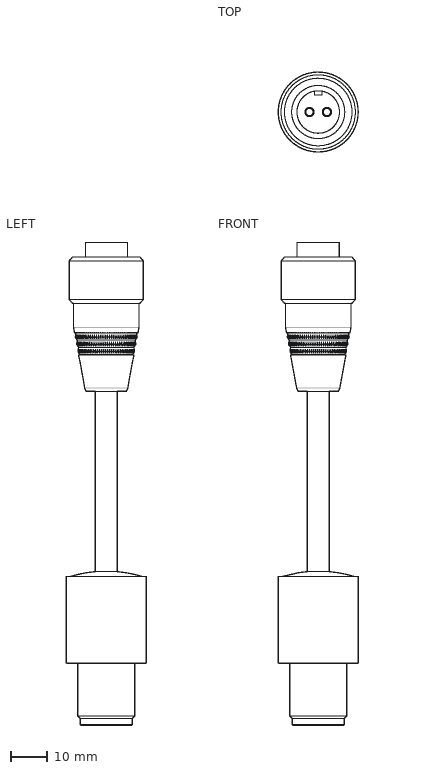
import cadquery as cq
import math


total_height = 133.2

plug_radius = 11.0
plug_bottom_z = 17.0
plug_top_z = 41.1
dome_radius = 9.9
dome_height = 1.5
shell_radius = 15.8 / 2
shell_bottom_z = 2.7
nose_radius = 7.2
rim_chamfer = 0.3

cable_radius = 3.0
cable_socket_depth = 5.3

boot_bottom_z = 92.2
boot_top_z = 116.4
boot_radius = 9.0
boot_taper_bottom_z = 93.1
boot_taper_top_z = 109.7
boot_neck_radius = 6.0
boot_end_radius = 5.6
core_radius = 7.3
shoulder_z = 122.5
insert_radius = 11.7 / 2

band_bottom_z = 102.1
band_top_z = 108.3
ring_pitch = 2.0
ring_count = 4
ring_depth = 0.4
ring_upper_flank = 0.8
flute_count = 88
flute_width = 0.24
flute_depth = 0.2

key_width = 2.0
key_floor_y = 4.7
contact_offset = 2.4
contact_hole_radius = 2.5 / 2
contact_hole_depth = 1.3
contact_cone_radius = 2.0 / 2
contact_cone_depth = 1.0

nut_radius = 10.3
nut_top_z = 129.2
nut_chamfer_width = 0.9
nut_chamfer_height = 1.0

shell_chamfer = shell_radius - nose_radius
boot_slope = (boot_radius - boot_neck_radius) / (boot_taper_top_z - boot_taper_bottom_z)
ring_lower_flank = ring_pitch - ring_upper_flank
o_ring_radius = (core_radius - insert_radius) / 2


def revolve_profile(profile):
    """Turn a closed (radius, z) profile once around the Z axis."""
    return profile.close().revolve(360, (0, 0, 0), (0, 1, 0))


def boot_surface_radius(z):
    """Radius of the tapered boot at height z."""
    return boot_neck_radius + boot_slope * (z - boot_taper_bottom_z)


def cable_cylinder():
    """The cable, which also shapes its sockets in the plug and the boot."""
    bottom_z = plug_top_z - cable_socket_depth
    top_z = boot_bottom_z + cable_socket_depth
    return cq.Workplane("XY").workplane(offset=bottom_z).circle(cable_radius).extrude(top_z - bottom_z)


def make_plug():
    dome_middle = dome_radius / 2
    dome_middle_rise = dome_height * (1 - (dome_middle / dome_radius) ** 2)
    profile = (
        cq.Workplane("XZ")
        .moveTo(0, 0)
        .lineTo(nose_radius - rim_chamfer, 0)
        .lineTo(nose_radius, rim_chamfer)
        .lineTo(nose_radius, shell_bottom_z - shell_chamfer)
        .lineTo(shell_radius, shell_bottom_z)
        .lineTo(shell_radius, plug_bottom_z)
        .lineTo(plug_radius - rim_chamfer, plug_bottom_z)
        .lineTo(plug_radius, plug_bottom_z + rim_chamfer)
        .lineTo(plug_radius, plug_top_z)
        .lineTo(dome_radius, plug_top_z)
        .threePointArc((dome_middle, plug_top_z + dome_middle_rise), (0, plug_top_z + dome_height))
    )
    return revolve_profile(profile).cut(cable_cylinder())


def ring_groove(valley_z):
    """V-shaped ring groove, kept inside the knurled band."""
    upper_z = min(valley_z + ring_upper_flank, band_top_z)
    lower_z = max(valley_z - ring_lower_flank, band_bottom_z)
    profile = (
        cq.Workplane("XZ")
        .moveTo(boot_surface_radius(valley_z) - ring_depth, valley_z)
        .lineTo(boot_surface_radius(lower_z), lower_z)
        .lineTo(boot_radius, lower_z)
        .lineTo(boot_radius, upper_z)
        .lineTo(boot_surface_radius(upper_z), upper_z)
    )
    return revolve_profile(profile)


def flute():
    """V-shaped groove that follows the slant of the boot through the knurled band."""
    start = (boot_surface_radius(band_bottom_z), 0, band_bottom_z)
    slant_plane = cq.Plane(origin=start, xDir=(0, 1, 0), normal=(boot_slope, 0, 1))
    cutter_half_width = flute_width
    slant_length = (band_top_z - band_bottom_z) * math.hypot(1, boot_slope)
    return (
        cq.Workplane(slant_plane)
        .polyline([(-cutter_half_width, -flute_depth), (cutter_half_width, -flute_depth), (0, flute_depth)])
        .close()
        .extrude(slant_length)
    )


def knurl_boot(body):
    for i in range(ring_count):
        body = body.cut(ring_groove(band_top_z - i * ring_pitch))
    flute_pitch = 360 / flute_count
    flutes = []
    for i in range(flute_count):
        turned = flute().rotate((0, 0, 0), (0, 0, 1), (i + 0.5) * flute_pitch)
        flutes.append(turned.val())
    return body.cut(cq.Compound.makeCompound(flutes))


def keyway():
    length = total_height - shoulder_z
    depth = insert_radius - key_floor_y
    return cq.Workplane("XY").box(key_width, depth, length, centered=(True, False, False)).translate(
        (0, key_floor_y, shoulder_z)
    )


def contact_hole(x):
    """Pin socket at x: a round hole with a narrower conical bottom."""
    step_z = total_height - contact_hole_depth
    profile = (
        cq.Workplane("XZ")
        .moveTo(0, step_z - contact_cone_depth)
        .lineTo(contact_cone_radius, step_z)
        .lineTo(contact_hole_radius, step_z)
        .lineTo(contact_hole_radius, total_height)
        .lineTo(0, total_height)
    )
    return revolve_profile(profile).translate((x, 0, 0))


def make_connector():
    profile = (
        cq.Workplane("XZ")
        .moveTo(0, boot_bottom_z)
        .lineTo(boot_end_radius, boot_bottom_z)
        .lineTo(boot_neck_radius, boot_taper_bottom_z)
        .lineTo(boot_radius, boot_taper_top_z)
        .lineTo(boot_radius, boot_top_z)
        .lineTo(core_radius, boot_top_z)
        .lineTo(core_radius, shoulder_z)
        .lineTo(insert_radius, shoulder_z)
        .lineTo(insert_radius, total_height)
        .lineTo(0, total_height)
    )
    body = knurl_boot(revolve_profile(profile))
    body = body.cut(cable_cylinder()).cut(keyway())
    for x in (-contact_offset, contact_offset):
        body = body.cut(contact_hole(x))
    return body


def make_nut():
    face_radius = nut_radius - nut_chamfer_width
    profile = (
        cq.Workplane("XZ")
        .moveTo(core_radius, boot_top_z)
        .lineTo(face_radius, boot_top_z)
        .lineTo(nut_radius, boot_top_z + nut_chamfer_height)
        .lineTo(nut_radius, nut_top_z - nut_chamfer_height)
        .lineTo(face_radius, nut_top_z)
        .lineTo(core_radius, nut_top_z)
    )
    return revolve_profile(profile)


def make_o_ring():
    centre_radius = insert_radius + o_ring_radius
    section = cq.Workplane("XZ").center(centre_radius, shoulder_z + o_ring_radius).circle(o_ring_radius)
    return section.revolve(360, (-centre_radius, 0, 0), (-centre_radius, 1, 0))


plug = make_plug()
cable = cable_cylinder()
connector = make_connector()
nut = make_nut()
o_ring = make_o_ring()

result = cq.Compound.makeCompound([plug.val(), cable.val(), connector.val(), nut.val(), o_ring.val()])